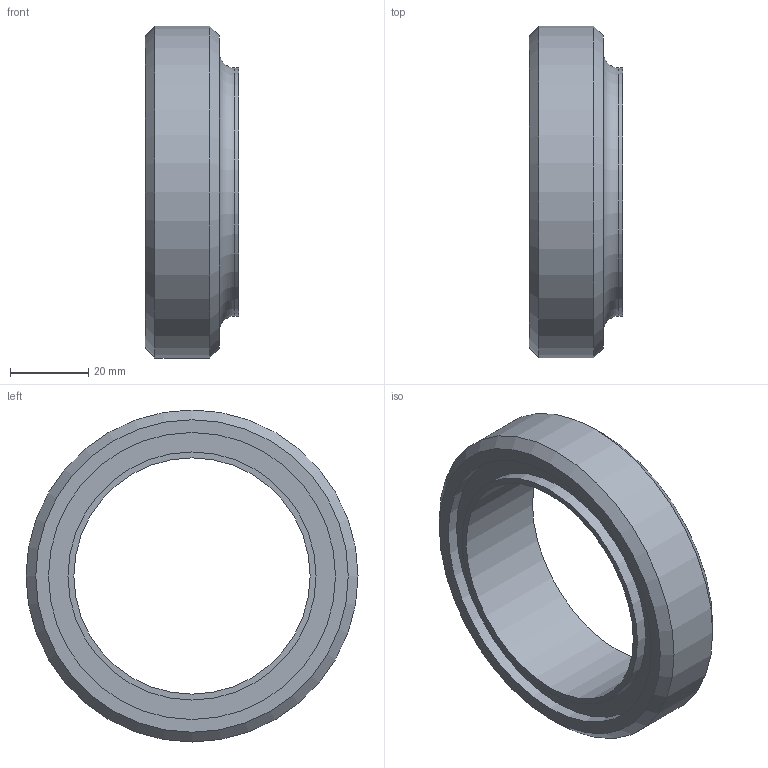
import cadquery as cq
import math

body_diameter = 85.0
bore_diameter = 60.5
lip_diameter = 63.5
total_length = 24.0
body_length = 19.0
edge_chamfer = 2.5
fillet_radius = 4.0

groove_inner_diameter = lip_diameter
groove_outer_diameter = 73.5
groove_depth = 3.0

body_radius = body_diameter / 2
bore_radius = bore_diameter / 2
lip_radius = lip_diameter / 2


def make_ring():
    """Revolve the half section (X along the axis, Y as radius) about X."""
    fillet_end = body_length + fillet_radius
    fillet_top = lip_radius + fillet_radius
    diagonal = fillet_radius * math.sqrt(0.5)
    fillet_middle = (fillet_end - diagonal, fillet_top - diagonal)
    return (
        cq.Workplane("XY")
        .moveTo(0, bore_radius)
        .lineTo(0, body_radius - edge_chamfer)
        .lineTo(edge_chamfer, body_radius)
        .lineTo(body_length - edge_chamfer, body_radius)
        .lineTo(body_length, body_radius - edge_chamfer)
        .lineTo(body_length, fillet_top)
        .threePointArc(fillet_middle, (fillet_end, lip_radius))
        .lineTo(total_length, lip_radius)
        .lineTo(total_length, bore_radius)
        .close()
        .revolve(360, (0, 0, 0), (1, 0, 0))
    )


def make_face_groove():
    """Annular volume removed from the front face."""
    return (
        cq.Workplane("YZ")
        .circle(groove_outer_diameter / 2)
        .circle(groove_inner_diameter / 2)
        .extrude(groove_depth)
    )


result = make_ring().cut(make_face_groove())